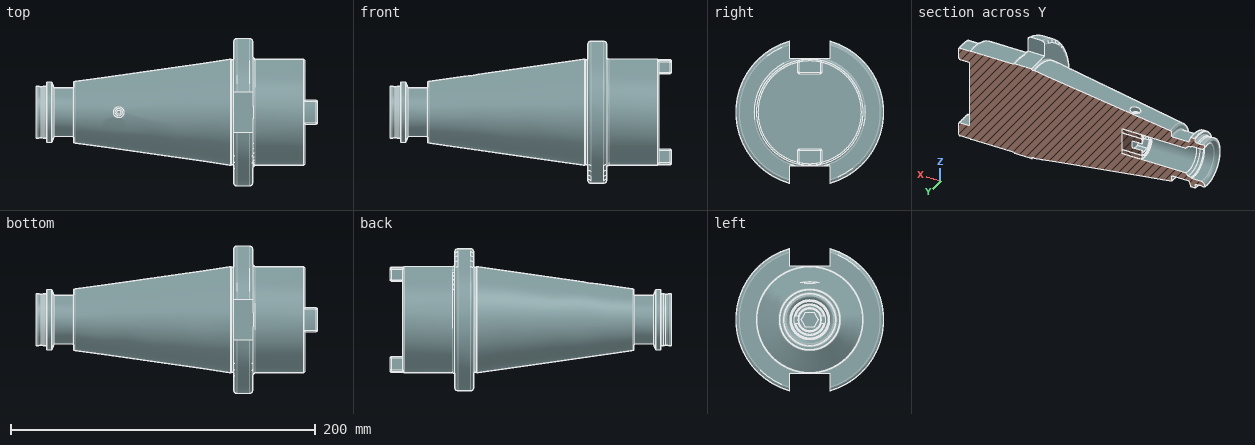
import cadquery as cq
import math


TIP_RADIUS = 17.2
TIP_ROUND = 0.7
TIP_GROOVE_RADIUS = 16.8
TIP_GROOVE_START = 1.5
TIP_GROOVE_FLOOR_START = 3.0
TIP_GROOVE_FLOOR_END = 4.0
TIP_GROOVE_END = 5.2
COLLAR_START = 7.0
COLLAR_ROOT_FILLET = 0.5
COLLAR_RADIUS = 20.0
COLLAR_CHAMFER = 0.4
COLLAR_BACK_CHAMFER = 0.4
COLLAR_RIM_END = 10.2
COLLAR_END = 12.0
NECK_RADIUS = 16.0

CONE_START = 24.8
CONE_SMALL_RADIUS = 20.3
CONE_ROUND = 1.0
NECK_FILLET = 0.5
CONE_END = 127.7
RELIEF_DEPTH = 0.4
RELIEF_ENTRY = 0.5
RELIEF_FILLET = 0.5

FLANGE_START = 129.7
FLANGE_THICKNESS = 12.5
FLANGE_END = FLANGE_START + FLANGE_THICKNESS
FLANGE_RADIUS = 97.0 / 2
FLANGE_ROUND = 2.2
FLANGE_ROOT_FILLET = 1.5
FLANGE_SLOT_WIDTH = 26.2
FLANGE_SLOT_FLOOR = 35.3

BODY_RADIUS = 69.9 / 2
BODY_CHAMFER = 1.1
OVERALL_LENGTH = 184.8
KEY_HEIGHT = 8.1
BODY_END = OVERALL_LENGTH - KEY_HEIGHT
KEY_WIDTH = 16.0
TOP_KEY_INNER_FLAT = 25.1
BOTTOM_KEY_INNER_FLAT = 24.0
KEY_OUTER_RADIUS = BODY_RADIUS - 0.2
KEY_CHAMFER = 1.0

BORE_RADIUS = 13.1
BORE_MOUTH_ROUND = 2.5
BORE_STEP_START = 9.8
BORE_STEP_END = 10.3
BORE_STEP_RADIUS = 12.5
BORE_TAPER_START = 12.5
BORE_TAPER_RADIUS = 12.0
BORE_TAPER_END = 14.2

SET_SCREW_X = 54.3
NUT_RADIUS = 10.3
NUT_HOLE_RADIUS = 7.5
NUT_LENGTH = 14.8
NUT_START = SET_SCREW_X - NUT_LENGTH / 2
NUT_END = NUT_START + NUT_LENGTH
NUT_OUTER_CHAMFER = 0.7
NUT_HOLE_CHAMFER = 0.4
NUT_SLOT_WIDTH = 5.0
NUT_SLOT_DEPTH = 3.7

DRAW_SCREW_CHAMFER = 0.4
DRAW_SCREW_HEX = 9.8
DRAW_SCREW_HEX_DEPTH = 7.4

SET_SCREW_RADIUS = 3.5
SET_SCREW_RECESS = 2.8
SET_SCREW_CHAMFER = 1.1
SET_SCREW_HEX = 2.5
SET_SCREW_HEX_DEPTH = 2.8


def across_corners(across_flats):
    """Corner-to-corner size of a hexagon."""
    return across_flats / math.cos(math.radians(30))


def revolve_about_x(profile):
    """Turn a closed (x, radius) profile about the X axis."""
    return profile.close().revolve(360, (0, 0, 0), (1, 0, 0))


def cylinder_along_x(radius, start, end):
    return cq.Workplane("YZ", origin=(start, 0, 0)).circle(radius).extrude(end - start)


def corner_round_point(x, radius, size, x_side):
    """Middle of a convex quarter round whose square corner is (x, radius)."""
    inset = size * (1 - math.sqrt(0.5))
    return (x + x_side * inset, radius - inset)


def root_fillet_point(x, radius, size, x_side):
    """Middle of a concave quarter fillet in the inner corner (x, radius)."""
    inset = size * (1 - math.sqrt(0.5))
    return (x + x_side * inset, radius + inset)


def make_turned_blank():
    relief_radius = BODY_RADIUS - RELIEF_DEPTH
    relief_floor_start = CONE_END + RELIEF_ENTRY
    profile = (
        cq.Workplane("XZ")
        .moveTo(0, 0)
        .lineTo(0, TIP_RADIUS - TIP_ROUND)
        .threePointArc(corner_round_point(0, TIP_RADIUS, TIP_ROUND, 1), (TIP_ROUND, TIP_RADIUS))
        .lineTo(TIP_GROOVE_START, TIP_RADIUS)
        .lineTo(TIP_GROOVE_FLOOR_START, TIP_GROOVE_RADIUS)
        .lineTo(TIP_GROOVE_FLOOR_END, TIP_GROOVE_RADIUS)
        .lineTo(TIP_GROOVE_END, TIP_RADIUS)
        .lineTo(COLLAR_START - COLLAR_ROOT_FILLET, TIP_RADIUS)
        .threePointArc(
            root_fillet_point(COLLAR_START, TIP_RADIUS, COLLAR_ROOT_FILLET, -1),
            (COLLAR_START, TIP_RADIUS + COLLAR_ROOT_FILLET),
        )
        .lineTo(COLLAR_START, COLLAR_RADIUS - COLLAR_CHAMFER)
        .lineTo(COLLAR_START + COLLAR_CHAMFER, COLLAR_RADIUS)
        .lineTo(COLLAR_RIM_END, COLLAR_RADIUS)
        .lineTo(COLLAR_RIM_END + COLLAR_BACK_CHAMFER, COLLAR_RADIUS - COLLAR_BACK_CHAMFER)
        .lineTo(COLLAR_END, NECK_RADIUS)
        .lineTo(CONE_START - NECK_FILLET, NECK_RADIUS)
        .threePointArc(
            root_fillet_point(CONE_START, NECK_RADIUS, NECK_FILLET, -1),
            (CONE_START, NECK_RADIUS + NECK_FILLET),
        )
        .lineTo(CONE_START, CONE_SMALL_RADIUS - CONE_ROUND)
        .threePointArc(
            corner_round_point(CONE_START, CONE_SMALL_RADIUS, CONE_ROUND, 1),
            (CONE_START + CONE_ROUND, CONE_SMALL_RADIUS),
        )
        .lineTo(CONE_END, BODY_RADIUS)
        .lineTo(relief_floor_start, relief_radius)
        .lineTo(FLANGE_START - RELIEF_FILLET, relief_radius)
        .threePointArc(
            root_fillet_point(FLANGE_START, relief_radius, RELIEF_FILLET, -1),
            (FLANGE_START, relief_radius + RELIEF_FILLET),
        )
        .lineTo(FLANGE_START, FLANGE_RADIUS - FLANGE_ROUND)
        .threePointArc(
            corner_round_point(FLANGE_START, FLANGE_RADIUS, FLANGE_ROUND, 1),
            (FLANGE_START + FLANGE_ROUND, FLANGE_RADIUS),
        )
        .lineTo(FLANGE_END - FLANGE_ROUND, FLANGE_RADIUS)
        .threePointArc(
            corner_round_point(FLANGE_END, FLANGE_RADIUS, FLANGE_ROUND, -1),
            (FLANGE_END, FLANGE_RADIUS - FLANGE_ROUND),
        )
        .lineTo(FLANGE_END, BODY_RADIUS + FLANGE_ROOT_FILLET)
        .threePointArc(
            root_fillet_point(FLANGE_END, BODY_RADIUS, FLANGE_ROOT_FILLET, 1),
            (FLANGE_END + FLANGE_ROOT_FILLET, BODY_RADIUS),
        )
        .lineTo(BODY_END - BODY_CHAMFER, BODY_RADIUS)
        .lineTo(BODY_END, BODY_RADIUS - BODY_CHAMFER)
        .lineTo(BODY_END, 0)
    )
    return revolve_about_x(profile)


def make_bore():
    """Space of the axial bore; it ends at the back of the nut."""
    mouth_middle = (
        BORE_MOUTH_ROUND * (1 - math.sqrt(0.5)),
        BORE_RADIUS + BORE_MOUTH_ROUND * (1 - math.sqrt(0.5)),
    )
    profile = (
        cq.Workplane("XZ")
        .moveTo(0, 0)
        .lineTo(0, BORE_RADIUS + BORE_MOUTH_ROUND)
        .threePointArc(mouth_middle, (BORE_MOUTH_ROUND, BORE_RADIUS))
        .lineTo(BORE_STEP_START, BORE_RADIUS)
        .lineTo(BORE_STEP_END, BORE_STEP_RADIUS)
        .lineTo(BORE_TAPER_START, BORE_TAPER_RADIUS)
        .lineTo(BORE_TAPER_END, NUT_RADIUS)
        .lineTo(NUT_END, NUT_RADIUS)
        .lineTo(NUT_END, 0)
    )
    return revolve_about_x(profile)


def make_flange_slot(side):
    """Space of one driving slot; side is +1 on top and -1 below."""
    slot_height = FLANGE_RADIUS - FLANGE_SLOT_FLOOR
    slot_length = FLANGE_THICKNESS + FLANGE_ROOT_FILLET
    center = (FLANGE_START + slot_length / 2, 0, side * (FLANGE_SLOT_FLOOR + slot_height / 2))
    return cq.Workplane("XY", origin=center).box(slot_length, FLANGE_SLOT_WIDTH, slot_height)


def make_key(side, inner_flat):
    """One drive key, rooted inside the end chamfer; side is +1 on top and -1 below."""
    root = BODY_END - BODY_CHAMFER
    length = OVERALL_LENGTH - root
    block_height = BODY_RADIUS - inner_flat
    center = (root + length / 2, 0, side * (inner_flat + block_height / 2))
    block = cq.Workplane("XY", origin=center).box(length, KEY_WIDTH, block_height)
    key = block.intersect(cylinder_along_x(KEY_OUTER_RADIUS, root, OVERALL_LENGTH))
    return key.edges("|X").chamfer(KEY_CHAMFER).faces(">X").edges().chamfer(KEY_CHAMFER)


def make_set_screw_hole():
    return cq.Workplane("XY").center(SET_SCREW_X, 0).circle(SET_SCREW_RADIUS).extrude(FLANGE_RADIUS)


def make_adapter():
    adapter = make_turned_blank()
    for side, key_inner_flat in ((1, TOP_KEY_INNER_FLAT), (-1, BOTTOM_KEY_INNER_FLAT)):
        adapter = adapter.cut(make_flange_slot(side))
        adapter = adapter.union(make_key(side, key_inner_flat))
    return adapter.cut(make_set_screw_hole()).cut(make_bore())


def make_ring_nut():
    nut = cylinder_along_x(NUT_RADIUS, NUT_START, NUT_END)
    nut = nut.faces("<X").edges().chamfer(NUT_OUTER_CHAMFER)
    nut = nut.cut(cylinder_along_x(NUT_HOLE_RADIUS, NUT_START, NUT_END))
    nut = nut.faces("<X").edges(cq.selectors.RadiusNthSelector(0)).chamfer(NUT_HOLE_CHAMFER)
    slot_center = (NUT_START + NUT_SLOT_DEPTH / 2, 0, 0)
    slot = cq.Workplane("XY", origin=slot_center).box(NUT_SLOT_DEPTH, 2 * NUT_RADIUS, NUT_SLOT_WIDTH)
    return nut.cut(slot)


def make_draw_screw():
    screw = cylinder_along_x(NUT_HOLE_RADIUS, NUT_START, NUT_END)
    screw = screw.faces("<X").edges().chamfer(DRAW_SCREW_CHAMFER)
    socket = (
        cq.Workplane("YZ", origin=(NUT_START, 0, 0))
        .polygon(6, across_corners(DRAW_SCREW_HEX))
        .extrude(DRAW_SCREW_HEX_DEPTH)
    )
    return screw.cut(socket)


def make_set_screw():
    taper_slope = (BODY_RADIUS - CONE_SMALL_RADIUS) / (CONE_END - CONE_START - CONE_ROUND)
    cone_radius = CONE_SMALL_RADIUS + taper_slope * (SET_SCREW_X - CONE_START - CONE_ROUND)
    top = cone_radius - SET_SCREW_RECESS
    screw = cq.Workplane("XY").center(SET_SCREW_X, 0).circle(SET_SCREW_RADIUS).extrude(top)
    screw = screw.faces(">Z").edges().chamfer(SET_SCREW_CHAMFER)
    socket = (
        cq.Workplane("XY", origin=(SET_SCREW_X, 0, top))
        .polygon(6, across_corners(SET_SCREW_HEX))
        .extrude(-SET_SCREW_HEX_DEPTH)
    )
    return screw.cut(socket).cut(cylinder_along_x(NUT_RADIUS, NUT_START, NUT_END))


adapter = make_adapter()
ring_nut = make_ring_nut()
draw_screw = make_draw_screw()
set_screw = make_set_screw()

result = cq.Compound.makeCompound(
    [adapter.val(), ring_nut.val(), draw_screw.val(), set_screw.val()]
)